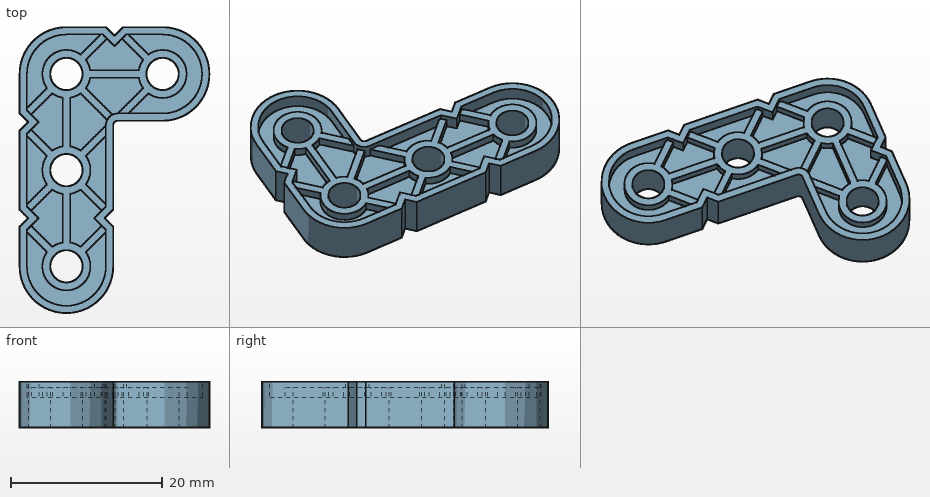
import cadquery as cq
import math

height = 6.1
pitch = 12.7
end_radius = 6.2
inner_corner_radius = 0.55

wall = 1.0
pocket_depth = 2.05
notch_depth = 1.15

hole_radius = 2.1
hub_radius = 3.18
rib_width = 1.0
rib_drop = 0.75

floor_z = height - pocket_depth
rib_height = pocket_depth - rib_drop

corner_hole = (0, 0)
short_end_hole = (pitch, 0)
middle_hole = (0, -pitch)
long_end_hole = (0, -2 * pitch)
holes = [corner_hole, short_end_hole, middle_hole, long_end_hole]

diagonal_ribs = {
    corner_hole: (45, 225, 315),
    short_end_hole: (135, 225),
    middle_hole: (45, 135, 225, 315),
    long_end_hole: (45, 135),
}
diagonal_rib_length = end_radius * math.sqrt(2)

joined_hubs = [
    (corner_hole, short_end_hole),
    (corner_hole, middle_hole),
    (middle_hole, long_end_hole),
]

first_gap = pitch / 2
second_gap = pitch + first_gap
notch_centers = [
    (first_gap, end_radius),
    (-end_radius, -first_gap),
    (-end_radius, -second_gap),
    (end_radius, -second_gap),
]


def leg(end, angle):
    """Round-ended bar from the corner hole to the hole at the end of a leg."""
    length = math.dist(corner_hole, end)
    middle = ((corner_hole[0] + end[0]) / 2, (corner_hole[1] + end[1]) / 2)
    bar = cq.Workplane("XY").center(*middle)
    return bar.slot2D(length + 2 * end_radius, 2 * end_radius, angle).extrude(height)


def beam_blank():
    """Solid L-shaped beam with a rounded inner corner and V notches."""
    blank = leg(short_end_hole, 0).union(leg(long_end_hole, 90)).clean()
    inner_corner = cq.selectors.NearestToPointSelector((end_radius, -end_radius, height / 2))
    blank = blank.edges("|Z").edges(inner_corner).fillet(inner_corner_radius)
    notch_side = notch_depth * math.sqrt(2)
    notches = (
        cq.Workplane("XY")
        .pushPoints(notch_centers)
        .sketch()
        .rect(notch_side, notch_side, angle=45)
        .finalize()
        .extrude(height)
    )
    return blank.cut(notches)


def pocket(blank):
    """Recess that leaves an even rim along the outline of the beam."""
    outline = blank.faces(">Z").wires().vals()[0]
    inner_outline = outline.offset2D(-wall, "intersection")[0]
    return cq.Workplane("XY").add(inner_outline).toPending().extrude(-pocket_depth)


def rib(start, angle, length):
    """Rib on the pocket floor, running from a hub centre at an angle."""
    bar = cq.Workplane("XY").box(length, rib_width, rib_height, centered=(False, True, False))
    return bar.rotate((0, 0, 0), (0, 0, 1), angle).translate((*start, floor_z))


def hubs_and_ribs():
    """Round hubs at the holes with the ribs that brace them."""
    web = cq.Workplane("XY", origin=(0, 0, floor_z))
    web = web.pushPoints(holes).circle(hub_radius).extrude(rib_height)
    for start, end in joined_hubs:
        angle = math.degrees(math.atan2(end[1] - start[1], end[0] - start[0]))
        web = web.union(rib(start, angle, pitch))
    for center, angles in diagonal_ribs.items():
        for angle in angles:
            web = web.union(rib(center, angle, diagonal_rib_length))
    return web


beam = beam_blank()
recess = pocket(beam)
through_holes = cq.Workplane("XY").pushPoints(holes).circle(hole_radius).extrude(height)
result = beam.cut(recess.cut(hubs_and_ribs())).cut(through_holes)